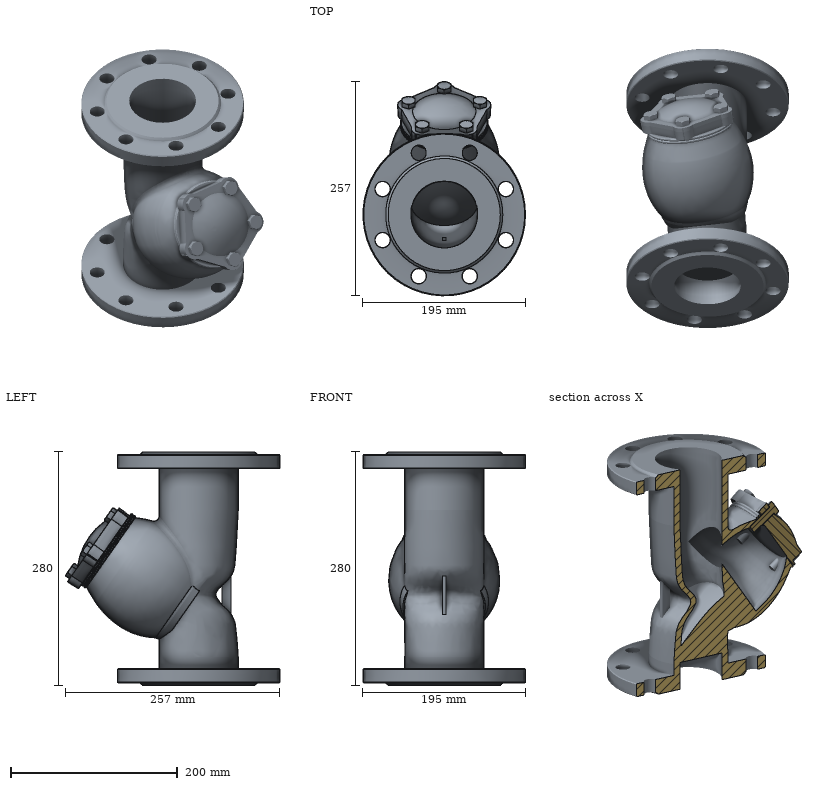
import cadquery as cq
import math

face_to_face = 280.0
pipe_diameter = 95.0
bore_diameter = 80.0

flange_diameter = 195.0
flange_thickness = 17.0
flange_edge_chamfer = 1.0
flange_bolt_circle = 160.0
flange_hole_diameter = 18.0
flange_hole_count = 8
raised_face_diameter = 140.5
raised_face_height = 3.0
raised_face_slope = 45.0

pinch_top_z = 70.0
pinch_bottom_z = -106.0
waist_z = -32.0
waist_taper = 5.6
waist_bend = 21.7
waist_bend_width = 12.9
pinch_section_count = 17

chamber_angle = math.radians(35.0)
chamber_axis_z = -54.3
chamber_base = 15.0
chamber_edge_start = 22.5
chamber_edge_end = 26.0
chamber_belly = 77.0
chamber_shoulder = 108.5
joint = 132.1
chamber_floor = 61.0
chamber_base_radius = 49.5
chamber_edge_start_radius = 52.5
chamber_edge_end_radius = 53.2
chamber_belly_radius = 66.5
chamber_shoulder_radius = 60.0
chamber_neck_radius = 51.0
chamber_wall = 8.0
chamber_mouth_radius = 38.0
root_fillet = 6.0

rim_radius = 105.0 / 2
rim_chamfer = 1.0
housing_rim_thickness = 3.5
cover_rim_thickness = 3.5
plate_thickness = 15.5
plate_upright_thickness = 5.0
plate_draft = 3.0
tab_radius = 13.0
tab_waist = 11.0
dome_radius = 38.0
dome_height = 9.5

bolt_count = 5
bolt_circle = 90.0
shank_diameter = 10.0
shank_length = 35.0
head_across_flats = 16.0
head_height = 6.4
head_sides = 6
head_chamfer_taper = -60.0

rib_width = 4.5
rib_inner_y = -27.7
rib_outer_y = -39.0
rib_top_z = -9.0
rib_bottom_z = -55.0

partition_apex_y = 12.4
partition_apex_z = -40.0
partition_slope = 0.2
cutter_size = 200.0

pipe_radius = pipe_diameter / 2
bore_radius = bore_diameter / 2
pipe_wall = pipe_radius - bore_radius
half_length = face_to_face / 2
flange_back_z = half_length - raised_face_height - flange_thickness
neck = joint - housing_rim_thickness
plate_bottom = joint + cover_rim_thickness
plate_top = plate_bottom + plate_thickness
plate_draft_line = plate_top - plate_upright_thickness
bolt_radius = bolt_circle / 2
bolt_step = 2 * math.pi / bolt_count
plate_corner_radius = bolt_radius + tab_waist / math.cos(bolt_step / 2)

axis_y = math.cos(chamber_angle)
axis_z = math.sin(chamber_angle)
chamber_plane = cq.Plane(origin=(0, 0, chamber_axis_z), xDir=(1, 0, 0), normal=(0, axis_y, axis_z))
profile_plane = cq.Plane(origin=(0, 0, chamber_axis_z), xDir=(0, -axis_z, axis_y), normal=(-1, 0, 0))

upper_root = cq.selectors.BoxSelector(
    (-bore_radius, bore_radius / 2, 0),
    (bore_radius, bore_diameter, pinch_top_z - root_fillet),
)


def across_chamber(distance):
    return cq.Workplane(chamber_plane).workplane(offset=distance)


def pentagon_points(radius):
    angles = [i * bolt_step for i in range(bolt_count)]
    return [(radius * math.sin(a), radius * math.cos(a)) for a in angles]


def pinched_side_y(z):
    """Y of the pinched side of the pipe at height z."""
    end_z = pinch_top_z if z > waist_z else pinch_bottom_z
    taper = waist_taper * (z - end_z) / (waist_z - end_z)
    bend = waist_bend * math.exp(-((z - waist_z) / waist_bend_width) ** 2 / 2)
    return -pipe_radius + taper + bend


def pinched_duct(inset):
    """Loft through ellipses whose +Y side stays straight; inset shrinks them to the inner wall."""
    spacing = (pinch_top_z - pinch_bottom_z) / (pinch_section_count - 1)
    wires = []
    for i in range(pinch_section_count):
        z = pinch_top_z - i * spacing
        side_y = pinched_side_y(z)
        centre = cq.Vector(0, (pipe_radius + side_y) / 2, z)
        half_width = pipe_radius - inset
        half_depth = (pipe_radius - side_y) / 2 - inset
        ellipse = cq.Edge.makeEllipse(half_width, half_depth, centre, cq.Vector(0, 0, 1), cq.Vector(1, 0, 0))
        wires.append(cq.Wire.assembleEdges([ellipse]))
    return cq.Workplane(cq.Solid.makeLoft(wires))


def barrel(straight, curve):
    """Revolve a profile of (radius, distance) points about the chamber axis.

    The profile is a polyline through the straight points to the first curve point, then a smooth curve.
    """
    outline = cq.Workplane(profile_plane).moveTo(0, straight[0][1])
    for point in [*straight, curve[0]]:
        outline = outline.lineTo(*point)
    outline = outline.spline(curve[1:], includeCurrent=True).lineTo(0, curve[-1][1]).close()
    return outline.revolve(360, (0, 0, 0), (0, 1, 0))


def vertical_cylinder(diameter, z_from, z_to):
    return cq.Workplane("XY", origin=(0, 0, z_from)).circle(diameter / 2).extrude(z_to - z_from)


def flange(side):
    """Pipe flange with raised face; side is +1 for the upper end and -1 for the lower end."""
    back = cq.Workplane("XY", origin=(0, 0, side * flange_back_z))
    front = cq.Workplane("XY", origin=(0, 0, side * (flange_back_z + flange_thickness)))
    disc = back.circle(flange_diameter / 2).extrude(side * flange_thickness)
    disc = disc.edges().chamfer(flange_edge_chamfer)
    raised_face = front.circle(raised_face_diameter / 2)
    raised_face = raised_face.extrude(side * raised_face_height, taper=raised_face_slope)
    holes = back.polarArray(flange_bolt_circle / 2, 180 / flange_hole_count, 360, flange_hole_count)
    holes = holes.circle(flange_hole_diameter / 2).extrude(side * flange_thickness)
    return disc.cut(holes).union(raised_face)


def above_partition():
    """Everything above the cone-shaped partition, which tilts with the chamber axis."""
    plane = cq.Plane(
        origin=(0, partition_apex_y, partition_apex_z),
        xDir=(0, axis_y, axis_z),
        normal=(1, 0, 0),
    )
    profile = cq.Workplane(plane).polyline([
        (0, 0),
        (cutter_size, -partition_slope * cutter_size),
        (cutter_size, cutter_size),
        (0, cutter_size),
    ]).close()
    return profile.revolve(360, (0, 0, 0), (0, 1, 0))


def bolt_holes():
    holes = across_chamber(plate_top).pushPoints(pentagon_points(bolt_radius))
    return holes.circle(shank_diameter / 2).extrude(-shank_length)


def make_housing():
    chamber = barrel(
        [
            (chamber_base_radius, chamber_base),
            (chamber_edge_start_radius, chamber_edge_start),
        ],
        [
            (chamber_edge_end_radius, chamber_edge_end),
            (chamber_belly_radius, chamber_belly),
            (chamber_shoulder_radius, chamber_shoulder),
            (chamber_neck_radius, neck),
        ],
    )
    body = pinched_duct(0).union(chamber)
    body = body.edges(upper_root).fillet(root_fillet)

    rim = across_chamber(neck).circle(rim_radius).extrude(housing_rim_thickness)
    body = body.union(rim.edges().chamfer(rim_chamfer))
    body = body.union(vertical_cylinder(pipe_diameter, pinch_top_z, flange_back_z))
    body = body.union(vertical_cylinder(pipe_diameter, -flange_back_z, pinch_bottom_z))
    body = body.union(flange(1)).union(flange(-1))

    chamber_cavity = barrel(
        [(chamber_belly_radius - chamber_wall, chamber_floor)],
        [
            (chamber_belly_radius - chamber_wall, chamber_belly),
            (chamber_shoulder_radius - chamber_wall, chamber_shoulder),
            (chamber_mouth_radius, joint),
        ],
    )
    body = body.cut(pinched_duct(pipe_wall).intersect(above_partition()))
    body = body.cut(chamber_cavity)
    body = body.cut(vertical_cylinder(bore_diameter, pinch_top_z, half_length))
    body = body.cut(vertical_cylinder(bore_diameter, -half_length, pinch_bottom_z))
    body = body.cut(bolt_holes())

    rib = cq.Workplane("XY").box(rib_width, rib_inner_y - rib_outer_y, rib_top_z - rib_bottom_z)
    body = body.union(rib.translate((0, (rib_inner_y + rib_outer_y) / 2, (rib_top_z + rib_bottom_z) / 2)))
    return body


def tabbed_pentagon(distance, height, taper):
    """Pentagonal plate with a round tab around every bolt."""
    corners = pentagon_points(plate_corner_radius)
    plate = across_chamber(distance).polyline(corners).close().extrude(height, taper=taper)
    for x, y in pentagon_points(bolt_radius):
        tab = across_chamber(distance).center(x, y).circle(tab_radius).extrude(height, taper=taper)
        plate = plate.union(tab)
    return plate


def make_cover():
    rim = across_chamber(joint).circle(rim_radius).extrude(cover_rim_thickness)
    upright = tabbed_pentagon(plate_draft_line, plate_upright_thickness, 0)
    drafted = tabbed_pentagon(plate_draft_line, plate_bottom - plate_draft_line, plate_draft)
    body = rim.edges().chamfer(rim_chamfer).union(drafted).union(upright)

    sphere_radius = (dome_radius ** 2 + dome_height ** 2) / (2 * dome_height)
    dome = across_chamber(plate_top + dome_height - sphere_radius).sphere(sphere_radius)
    dome = dome.intersect(across_chamber(plate_top).circle(dome_radius).extrude(dome_height))
    return body.union(dome).cut(bolt_holes())


def make_bolt(x, y):
    """Hexagon bolt with a chamfered head and two head corners in the YZ direction."""
    seat = across_chamber(plate_top).center(x, y)
    half_side_angle = math.pi / head_sides
    corner_radius = head_across_flats / 2 / math.cos(half_side_angle)
    corner_angles = [(2 * i + 1) * half_side_angle for i in range(head_sides)]
    corners = [(corner_radius * math.cos(a), corner_radius * math.sin(a)) for a in corner_angles]
    head = seat.polyline(corners).close().extrude(head_height)
    chamfer_cone = seat.workplane(offset=head_height).circle(head_across_flats / 2)
    head = head.intersect(chamfer_cone.extrude(-head_height, taper=head_chamfer_taper))
    return head.union(seat.circle(shank_diameter / 2).extrude(-shank_length))


housing = make_housing().solids()
cover = make_cover().solids()
bolts = [make_bolt(x, y).solids() for x, y in pentagon_points(bolt_radius)]

result = cq.Compound.makeCompound([housing.val(), cover.val(), *[bolt.val() for bolt in bolts]])